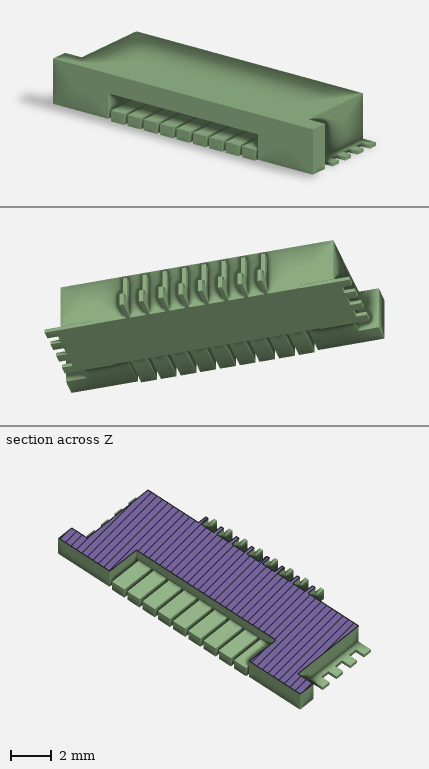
import cadquery as cq

overall_length = 15.92
overall_depth = 6.55
overall_height = 2.56

housing_length = 13.88
housing_rear = 5.4
flange_depth = 0.97
body_bottom = 0.19

opening_length = 9.17
opening_depth = 1.95
opening_top = 1.53

contact_count = 8
contact_pitch = 1.0
contact_width = 0.2
block_count = contact_count + 1
block_width = contact_pitch - contact_width
block_bottom = 0.1
block_top = 0.67

tail_shank_rear = 5.92
tail_shank_top = 2.05
tail_foot_top = 0.67

plate_inner_x = 5.27
plate_outer_x = 7.75
plate_root_x = 7.21
plate_rear = 5.38
tooth_count = 4
tooth_pitch = 1.0
tooth_width = 0.5
plate_length = (tooth_count - 1) * tooth_pitch + tooth_width


def box_between(x_range, y_range, z_range):
    """Axis-aligned box spanning the given (low, high) ranges."""
    size = [high - low for low, high in (x_range, y_range, z_range)]
    corner = (x_range[0], y_range[0], z_range[0])
    return cq.Workplane("XY").box(*size, centered=False).translate(corner)


def centered_range(center, width):
    return (center - width / 2, center + width / 2)


def row_positions(count, pitch):
    """X centers of a row of items that is symmetric about X = 0."""
    return [(i - (count - 1) / 2) * pitch for i in range(count)]


def make_body():
    heights = (body_bottom, overall_height)
    flange = box_between(centered_range(0, overall_length), (0, flange_depth), heights)
    housing = box_between(centered_range(0, housing_length), (0, housing_rear), heights)
    opening = box_between(
        centered_range(0, opening_length), (0, opening_depth), (body_bottom, opening_top)
    )
    floor = box_between((-plate_inner_x, plate_inner_x), (opening_depth, housing_rear), (0, body_bottom))
    return flange.union(housing).cut(opening).union(floor)


def make_block(x):
    return box_between(centered_range(x, block_width), (0, opening_depth), (block_bottom, block_top))


def make_contact_tail(x):
    profile = [
        (housing_rear, 0),
        (overall_depth, 0),
        (overall_depth, tail_foot_top),
        (tail_shank_rear, tail_foot_top),
        (tail_shank_rear, tail_shank_top),
        (housing_rear, tail_shank_top),
    ]
    side = cq.Workplane("YZ").polyline(profile).close()
    return side.extrude(contact_width / 2, both=True).translate((x, 0, 0))


def make_solder_plate():
    """Plate on the +X side; its teeth point outward."""
    thickness = (0, body_bottom)
    plate_front = plate_rear - plate_length
    plate = box_between((plate_inner_x, plate_root_x), (plate_front, plate_rear), thickness)
    for i in range(tooth_count):
        tooth_front = plate_front + i * tooth_pitch
        tooth_span = (tooth_front, tooth_front + tooth_width)
        plate = plate.union(box_between((plate_root_x, plate_outer_x), tooth_span, thickness))
    return plate


result = make_body()
for block_x in row_positions(block_count, contact_pitch):
    result = result.union(make_block(block_x))
for contact_x in row_positions(contact_count, contact_pitch):
    result = result.union(make_contact_tail(contact_x))
solder_plate = make_solder_plate()
result = result.union(solder_plate).union(solder_plate.mirror("YZ"))